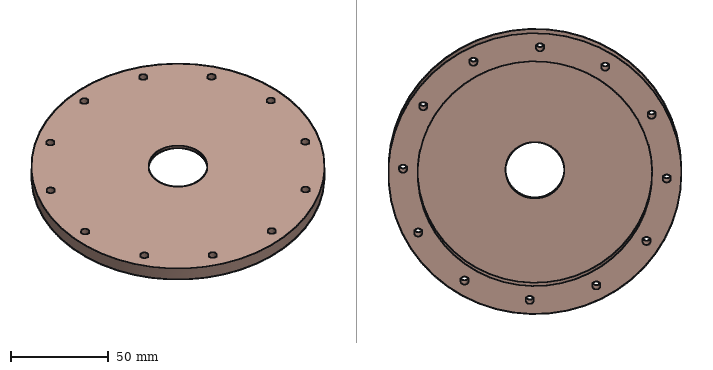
import cadquery as cq

disc_diameter = 150.0
disc_thickness = 8.0
web_thickness = 2.0
bore_diameter = 30.0
rim_width = 15.0
bolt_hole_diameter = 4.2
bolt_hole_count = 12

recess_diameter = disc_diameter - 2 * rim_width
recess_depth = disc_thickness - web_thickness

bolt_circle_radius = (disc_diameter - rim_width) / 2

hole_pitch_angle = 360 / bolt_hole_count
first_hole_angle = hole_pitch_angle / 2

disc = (
    cq.Workplane("XY")
    .circle(disc_diameter / 2)
    .circle(bore_diameter / 2)
    .extrude(disc_thickness)
)

recess = cq.Workplane("XY").circle(recess_diameter / 2).extrude(recess_depth)

bolt_holes = (
    cq.Workplane("XY")
    .polarArray(bolt_circle_radius, first_hole_angle, 360, bolt_hole_count)
    .circle(bolt_hole_diameter / 2)
    .extrude(disc_thickness)
)

result = disc.cut(recess).cut(bolt_holes)